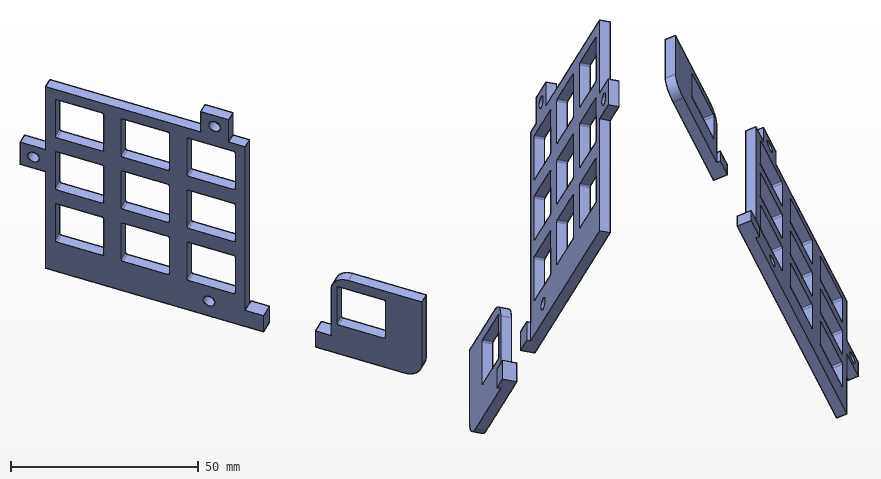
import cadquery as cq

overall_length = 116.6
plate_thickness = 3.0
foot_thickness = 4.1
foot_height = 6.0
window_size = 14.0
window_corner_radius = 0.5
hole_diameter = 3.4

plate_left = 7.3
plate_width = 58.0
plate_right = plate_left + plate_width
plate_height = 66.7
grid_foot_length = 5.4
lug_width = 8.2
side_lug_center_z = 39.5
side_lug_hole_x = 3.8
top_lug_center_x = 56.5
top_lug_top = 74.2
top_lug_hole_z = 70.2
shoulder_drop = 0.7
lower_hole_x = 54.8
lower_hole_z = 5.5

window_count = 3
window_pitch = 19.1
window_row_bottom = 10.8

corner_width = 26.4
corner_left = overall_length - corner_width
corner_height = 28.0
corner_radius = 5.0
corner_foot_length = 4.5
corner_window_center_x = 99.0
corner_window_center_z = 17.6


def block(left, right, bottom, top, thickness):
    """Box between X and Z limits, reaching back from the front face."""
    box = cq.Workplane("XY").box(right - left, thickness, top - bottom, centered=False)
    return box.translate((left, 0, bottom))


def window(center_x, center_z):
    """Cutter for a square window with rounded corners."""
    half = window_size / 2
    cutter = block(
        center_x - half, center_x + half, center_z - half, center_z + half, plate_thickness
    )
    return cutter.edges("|Y").fillet(window_corner_radius)


def round_hole(center_x, center_z):
    """Cutter for a screw hole through the plate."""
    return (
        cq.Workplane("XZ", origin=(center_x, 0, center_z))
        .circle(hole_diameter / 2)
        .extrude(-plate_thickness)
    )


def make_grid_plate():
    top_lug_left = top_lug_center_x - lug_width / 2
    top_lug_right = top_lug_center_x + lug_width / 2
    side_lug_bottom = side_lug_center_z - lug_width / 2
    side_lug_top = side_lug_center_z + lug_width / 2
    shoulder_z = plate_height - shoulder_drop

    outline = [
        (plate_left, 0),
        (plate_right, 0),
        (plate_right, shoulder_z),
        (top_lug_right, shoulder_z),
        (top_lug_right, top_lug_top),
        (top_lug_left, top_lug_top),
        (top_lug_left, plate_height),
        (plate_left, plate_height),
        (plate_left, side_lug_top),
        (0, side_lug_top),
        (0, side_lug_bottom),
        (plate_left, side_lug_bottom),
    ]
    plate = cq.Workplane("XZ").polyline(outline).close().extrude(-plate_thickness)
    foot = block(plate_right, plate_right + grid_foot_length, 0, foot_height, foot_thickness)
    plate = plate.union(foot)

    first_column_x = plate_left + plate_width / 2 - window_pitch * (window_count - 1) / 2
    first_row_z = window_row_bottom + window_size / 2
    for column in range(window_count):
        for row in range(window_count):
            center_x = first_column_x + column * window_pitch
            center_z = first_row_z + row * window_pitch
            plate = plate.cut(window(center_x, center_z))

    hole_centers = [
        (side_lug_hole_x, side_lug_center_z),
        (top_lug_center_x, top_lug_hole_z),
        (lower_hole_x, lower_hole_z),
    ]
    for center_x, center_z in hole_centers:
        plate = plate.cut(round_hole(center_x, center_z))
    return plate


def make_corner_plate():
    plate = block(corner_left, overall_length, 0, corner_height, plate_thickness)
    plate = plate.faces("<X").edges(">Z").fillet(corner_radius)
    plate = plate.faces(">X").edges("<Z").fillet(corner_radius)

    foot = block(corner_left - corner_foot_length, corner_left, 0, foot_height, foot_thickness)
    plate = plate.union(foot)
    plate = plate.cut(window(corner_window_center_x, corner_window_center_z))
    return plate


grid_plate = make_grid_plate()
corner_plate = make_corner_plate()

result = cq.Compound.makeCompound([grid_plate.val(), corner_plate.val()])